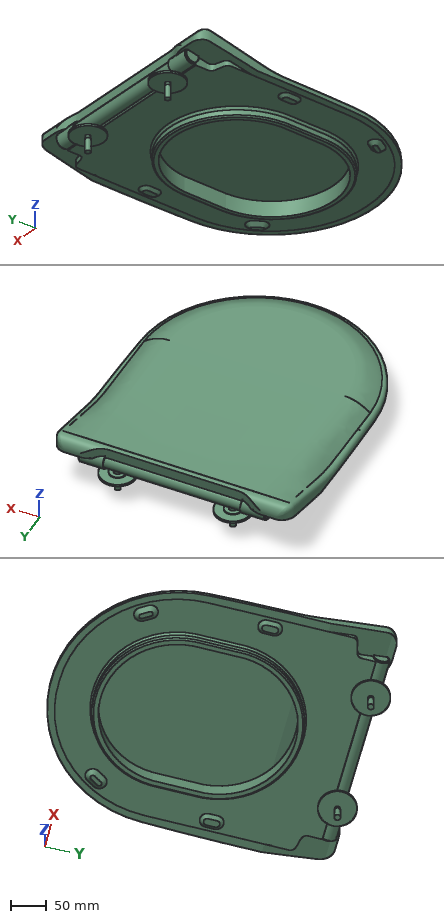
import cadquery as cq
import math


LID_TOP = 71.0
LID_BOTTOM = 32.0
LID_REAR = 17.0
NOSE_CENTER_Y = -259.0
NOSE_HALF_WIDTH = 185.0
NOSE_DEPTH = 181.5
SIDE_BULGE_X = 186.5
SIDE_BULGE_Y = -168.5
REAR_HALF_WIDTH = 185.5
REAR_ROUND_Y = -3.0
REAR_CORNER_RADIUS = LID_REAR - REAR_ROUND_Y
REAR_ROUND_Z = 55.0
REAR_FOOT_Y = 7.0
REAR_FOOT_Z = 50.5
SLOPE_END_Y = -84.2
RIM_FILLET = 6.5

CROWN_MID_Y = -126.5
CROWN_MID_Z = 62.5
CROWN_SLOPE = 0.024

RIM_Z = 43.0
RIM_REAR_Z = 70.5
RIM_BEND_START_Y = -140.5
RIM_BEND_END_Y = -93.5
RIM_CORNER_Y = (RIM_BEND_START_Y + RIM_BEND_END_Y) / 2
RIM_SLOPE = (RIM_REAR_Z - RIM_Z) / (REAR_ROUND_Y - RIM_CORNER_Y)

FOOT_INSET = RIM_FILLET + 1.0
FOOT_HALF_WIDTH = NOSE_HALF_WIDTH - FOOT_INSET
FOOT_DEPTH = NOSE_DEPTH - FOOT_INSET
PANEL_HALF_WIDTH = 138.0
PANEL_REAR_HALF_WIDTH = 134.5
PANEL_DEPTH = 139.5
DOME_FOOT_DEPTH = 2.5
NOSE_LEVELS = 6
REAR_SPANS = 12

MARGIN = 9.5
SEAM_TOLERANCE = 0.5
TOOL_HEIGHT = 93.5

NOTCH_Y = 5.5
NOTCH_FLOOR_HALF = 100.5
NOTCH_MOUTH_HALF = 145.0

SEAT_INSET = 11.0
SEAT_HALF_WIDTH = NOSE_HALF_WIDTH - SEAT_INSET
SEAT_FRONT_Y = NOSE_CENTER_Y - NOSE_DEPTH + SEAT_INSET
SEAT_TOP = 42.0
SEAT_REAR_TOP = 55.0
SEAT_SLOPE_START_Y = -103.0
SEAT_REAR_Y = -7.0
SEAT_ARM_HALF_WIDTH = 145.0
SEAT_ARM_END_Y = -27.0
SEAT_SHOULDER_Y = -49.0

COLLAR_HALF_WIDTH = 119.5
COLLAR_WALL = 9.5
COLLAR_FRONT_Y = -377.5
COLLAR_REAR_Y = -76.5
COLLAR_SIDE_FRONT_Y = -263.0
COLLAR_SIDE_REAR_Y = -188.5
COLLAR_BOTTOM = 16.5
COLLAR_EDGE = 2.5
FLARE_BOTTOM = 27.0
FLARE_WIDTH = 2.5

AXIS_Z = 45.0
BARREL_DIAMETER = 22.0
BARREL_HALF_LENGTH = 147.0
HUB_DIAMETER = 26.0
HUB_INNER_X = 107.5
HUB_OUTER_X = SEAT_ARM_HALF_WIDTH

BUFFER_LENGTH = 34.5
BUFFER_WIDTH = 21.5
BUFFER_TAPER = 50.0
REAR_BUFFER = {"x": 158.0, "y": -164.7, "turn": 90.0, "height": 4.5}
FRONT_BUFFER = {"x": 135.3, "y": -339.5, "turn": 58.0, "height": 6.0}

POST_X = 90.5
FLANGE_DIAMETER = 55.0
FLANGE_BOTTOM = 26.0
FLANGE_TOP = 29.5
RING_DIAMETER = 26.0
RING_TOP = 31.0
STEM_DIAMETER = 12.0
SCREW_DIAMETER = 9.0
SCREW_NECK_DIAMETER = 8.0
SCREW_NECK_Z = 21.5


def crown_height(y):
    """Height of the centre line: a straight slope in front and a parabola behind it."""
    height = CROWN_MID_Z + CROWN_SLOPE * (y - CROWN_MID_Y)
    span = REAR_ROUND_Y - CROWN_MID_Y
    bend = (LID_TOP - CROWN_MID_Z - CROWN_SLOPE * span) / span**2
    return height + bend * max(0.0, y - CROWN_MID_Y) ** 2


def rim_height(y):
    if y > RIM_BEND_END_Y:
        return RIM_Z + RIM_SLOPE * (y - RIM_CORNER_Y)
    bend = RIM_SLOPE / (2 * (RIM_BEND_END_Y - RIM_BEND_START_Y))
    return RIM_Z + bend * max(0.0, y - RIM_BEND_START_Y) ** 2


def lid_plan():
    corner_y = LID_REAR - REAR_CORNER_RADIUS
    corner_x = REAR_HALF_WIDTH - REAR_CORNER_RADIUS
    return (
        cq.Workplane("XY")
        .moveTo(-corner_x, LID_REAR)
        .lineTo(corner_x, LID_REAR)
        .radiusArc((REAR_HALF_WIDTH, corner_y), REAR_CORNER_RADIUS)
        .threePointArc((SIDE_BULGE_X, SIDE_BULGE_Y), (NOSE_HALF_WIDTH, NOSE_CENTER_Y))
        .threePointArc((0, NOSE_CENTER_Y - NOSE_DEPTH), (-NOSE_HALF_WIDTH, NOSE_CENTER_Y))
        .threePointArc((-SIDE_BULGE_X, SIDE_BULGE_Y), (-REAR_HALF_WIDTH, corner_y))
        .radiusArc((-corner_x, LID_REAR), REAR_CORNER_RADIUS)
        .close()
        .extrude(TOOL_HEIGHT)
    )


def is_rim_edge(edge):
    """True for the edges between the side wall and the tray's top, up to where the rear rounds off."""
    box = edge.BoundingBox()
    along_outline = abs(edge.endPoint().x) > SEAT_HALF_WIDTH and box.ylen > SEAM_TOLERANCE
    above_wall = box.zmin > RIM_Z - SEAM_TOLERANCE
    ahead_of_rear = box.ymax < REAR_ROUND_Y + SEAM_TOLERANCE
    return along_outline and above_wall and ahead_of_rear


def lid_tray():
    """Lower part of the lid, up to the rim, with the rounded rear and the rounded rim edge."""
    front = NOSE_CENTER_Y - NOSE_DEPTH - MARGIN
    bend = [
        (RIM_BEND_END_Y, rim_height(RIM_BEND_END_Y)),
        (RIM_CORNER_Y, RIM_Z),
        (RIM_BEND_START_Y, RIM_Z),
    ]
    profile = (
        cq.Workplane("YZ")
        .moveTo(front, LID_BOTTOM)
        .lineTo(SLOPE_END_Y, LID_BOTTOM)
        .lineTo(REAR_FOOT_Y, REAR_FOOT_Z)
        .lineTo(LID_REAR, REAR_FOOT_Z)
        .lineTo(LID_REAR, REAR_ROUND_Z)
        .tangentArcPoint((REAR_ROUND_Y, RIM_REAR_Z), relative=False)
        .lineTo(*bend[0])
        .bezier(bend)
        .lineTo(front, RIM_Z)
        .close()
        .extrude(SIDE_BULGE_X + MARGIN, both=True)
    )
    tray = lid_plan().intersect(profile)
    rim_edge = [edge for edge in tray.edges().vals() if is_rim_edge(edge)]
    return tray.newObject(rim_edge).fillet(RIM_FILLET)


def nose_dome():
    """Half-round front of the dome, lofted through half discs that tilt towards the crown."""
    discs = []
    crown_rise = crown_height(NOSE_CENTER_Y) - RIM_Z
    for level in range(NOSE_LEVELS):
        inward = level / (NOSE_LEVELS - 1)
        share = 1 - (1 - inward) ** 2
        half_width = FOOT_HALF_WIDTH + (PANEL_HALF_WIDTH - FOOT_HALF_WIDTH) * inward
        depth = FOOT_DEPTH + (PANEL_DEPTH - FOOT_DEPTH) * inward
        height = RIM_Z + crown_rise * share
        tip_slope = math.atan(CROWN_SLOPE * share)
        plane = cq.Plane(
            origin=(0, NOSE_CENTER_Y, height),
            xDir=(1, 0, 0),
            normal=(0, -math.sin(tip_slope), math.cos(tip_slope)),
        )
        disc = cq.Workplane(plane).moveTo(-half_width, 0)
        disc = disc.threePointArc((0, -depth), (half_width, 0)).close()
        discs.append(disc.val())
    return cq.Workplane(cq.Solid.makeLoft(discs))


def dome_section(y):
    """Closed cross-section of the dome behind the nose, with a parabola on each shoulder."""
    rim = rim_height(y)
    crown = crown_height(y)
    foot = rim - DOME_FOOT_DEPTH
    rearward = (y - NOSE_CENTER_Y) / (REAR_ROUND_Y - NOSE_CENTER_Y)
    panel_x = PANEL_HALF_WIDTH + (PANEL_REAR_HALF_WIDTH - PANEL_HALF_WIDTH) * rearward
    shoulder_x = (FOOT_HALF_WIDTH + panel_x) / 2
    return (
        cq.Workplane("XZ", origin=(0, y, 0))
        .moveTo(-FOOT_HALF_WIDTH, foot)
        .lineTo(-FOOT_HALF_WIDTH, rim)
        .bezier([(-FOOT_HALF_WIDTH, rim), (-shoulder_x, crown), (-panel_x, crown)])
        .lineTo(panel_x, crown)
        .bezier([(panel_x, crown), (shoulder_x, crown), (FOOT_HALF_WIDTH, rim)])
        .lineTo(FOOT_HALF_WIDTH, foot)
        .close()
        .val()
    )


def rear_dome():
    """Dome behind the nose, lofted through evenly spaced cross-sections."""
    span = (REAR_ROUND_Y - NOSE_CENTER_Y) / REAR_SPANS
    sections = [dome_section(NOSE_CENTER_Y + i * span) for i in range(REAR_SPANS + 1)]
    return cq.Workplane(cq.Solid.makeLoft(sections))


def rear_notch():
    """Block behind the rear edge, with an S-curve at each end."""
    behind = LID_REAR + MARGIN
    level = [(1, 0), (1, 0)]
    return (
        cq.Workplane("XY")
        .moveTo(-NOTCH_MOUTH_HALF, LID_REAR)
        .spline([(-NOTCH_FLOOR_HALF, NOTCH_Y)], tangents=level, includeCurrent=True)
        .lineTo(NOTCH_FLOOR_HALF, NOTCH_Y)
        .spline([(NOTCH_MOUTH_HALF, LID_REAR)], tangents=level, includeCurrent=True)
        .lineTo(NOTCH_MOUTH_HALF, behind)
        .lineTo(-NOTCH_MOUTH_HALF, behind)
        .close()
        .extrude(TOOL_HEIGHT)
    )


def seat_plan():
    """Solid outline of the seat board."""
    along_y = [(0, -1), (0, -1)]
    half = (
        cq.Workplane("XY")
        .moveTo(0, SEAT_REAR_Y)
        .lineTo(SEAT_ARM_HALF_WIDTH, SEAT_REAR_Y)
        .lineTo(SEAT_ARM_HALF_WIDTH, SEAT_ARM_END_Y)
        .spline([(SEAT_HALF_WIDTH, SEAT_SHOULDER_Y)], tangents=along_y, includeCurrent=True)
        .lineTo(SEAT_HALF_WIDTH, NOSE_CENTER_Y)
        .tangentArcPoint((0, SEAT_FRONT_Y), relative=False)
        .close()
        .extrude(TOOL_HEIGHT)
    )
    return half.union(half.mirror("YZ"))


def seat_board():
    """Seat without its collar, barrel and opening; its top climbs towards the hinge."""
    front = NOSE_CENTER_Y - NOSE_DEPTH
    profile = (
        cq.Workplane("YZ")
        .polyline(
            [
                (front, LID_BOTTOM),
                (SEAT_REAR_Y, LID_BOTTOM),
                (SEAT_REAR_Y, SEAT_REAR_TOP),
                (SEAT_SLOPE_START_Y, SEAT_TOP),
                (front, SEAT_TOP),
            ]
        )
        .close()
        .extrude(SIDE_BULGE_X, both=True)
    )
    return seat_plan().intersect(profile)


def collar_outline(bottom, inset=0.0):
    """Oval with straight sides, drawn inside the collar's outer wall by the inset."""
    half_width = COLLAR_HALF_WIDTH - inset
    return (
        cq.Workplane("XY", origin=(0, 0, bottom))
        .moveTo(half_width, COLLAR_SIDE_FRONT_Y)
        .lineTo(half_width, COLLAR_SIDE_REAR_Y)
        .threePointArc((0, COLLAR_REAR_Y - inset), (-half_width, COLLAR_SIDE_REAR_Y))
        .lineTo(-half_width, COLLAR_SIDE_FRONT_Y)
        .threePointArc((0, COLLAR_FRONT_Y + inset), (half_width, COLLAR_SIDE_FRONT_Y))
        .close()
    )


def make_collar():
    collar = collar_outline(COLLAR_BOTTOM).extrude(LID_BOTTOM - COLLAR_BOTTOM)
    collar = collar.faces("<Z").edges().chamfer(COLLAR_EDGE)
    flare_height = LID_BOTTOM - FLARE_BOTTOM
    flare_angle = math.degrees(math.atan2(FLARE_WIDTH, flare_height))
    return collar.union(collar_outline(FLARE_BOTTOM).extrude(flare_height, taper=-flare_angle))


def hinge_rod(diameter, start_x, end_x):
    rod = cq.Workplane("YZ", origin=(start_x, 0, AXIS_Z)).circle(diameter / 2)
    return rod.extrude(end_x - start_x)


def make_seat(board):
    opening = collar_outline(COLLAR_BOTTOM, COLLAR_WALL).extrude(TOOL_HEIGHT)
    seat = board.union(make_collar()).cut(opening)
    seat = seat.union(hinge_rod(BARREL_DIAMETER, -BARREL_HALF_LENGTH, BARREL_HALF_LENGTH))
    for start_x in (HUB_INNER_X, -HUB_OUTER_X):
        end_x = start_x + HUB_OUTER_X - HUB_INNER_X
        seat = seat.union(hinge_rod(HUB_DIAMETER, start_x, end_x))
    return seat


def make_lid(board, seat):
    """Lid with a pocket underneath for the whole seat board and the barrel."""
    lid = lid_tray().union(nose_dome()).union(rear_dome()).cut(rear_notch())
    return lid.cut(board).cut(seat)


def make_buffer(side, x, y, turn, height):
    base = cq.Workplane("XY", origin=(side * x, y, LID_BOTTOM)).transformed(rotate=(0, 0, side * turn))
    return base.slot2D(BUFFER_LENGTH, BUFFER_WIDTH).extrude(-height, taper=BUFFER_TAPER)


def make_post(x):
    """Flange, ring and stem; the stem is later cut to the barrel that rests on it."""
    base = cq.Workplane("XY", origin=(x, 0, FLANGE_BOTTOM))
    post = base.circle(FLANGE_DIAMETER / 2).extrude(FLANGE_TOP - FLANGE_BOTTOM)
    post = post.union(base.circle(RING_DIAMETER / 2).extrude(RING_TOP - FLANGE_BOTTOM))
    return post.union(base.circle(STEM_DIAMETER / 2).extrude(AXIS_Z - FLANGE_BOTTOM))


def make_screw(x):
    base = cq.Workplane("XY", origin=(x, 0, 0))
    screw = base.circle(SCREW_DIAMETER / 2).extrude(SCREW_NECK_Z)
    return screw.union(base.circle(SCREW_NECK_DIAMETER / 2).extrude(FLANGE_TOP))


board = seat_board()
seat = make_seat(board)
lid = make_lid(board, seat)
buffers = [make_buffer(side, **place) for place in (REAR_BUFFER, FRONT_BUFFER) for side in (-1, 1)]
screws = [make_screw(x) for x in (-POST_X, POST_X)]
posts = [make_post(x).cut(seat).cut(screw) for x, screw in zip((-POST_X, POST_X), screws)]

bodies = [lid, seat, *buffers, *posts, *screws]
result = cq.Compound.makeCompound([body.val() for body in bodies])